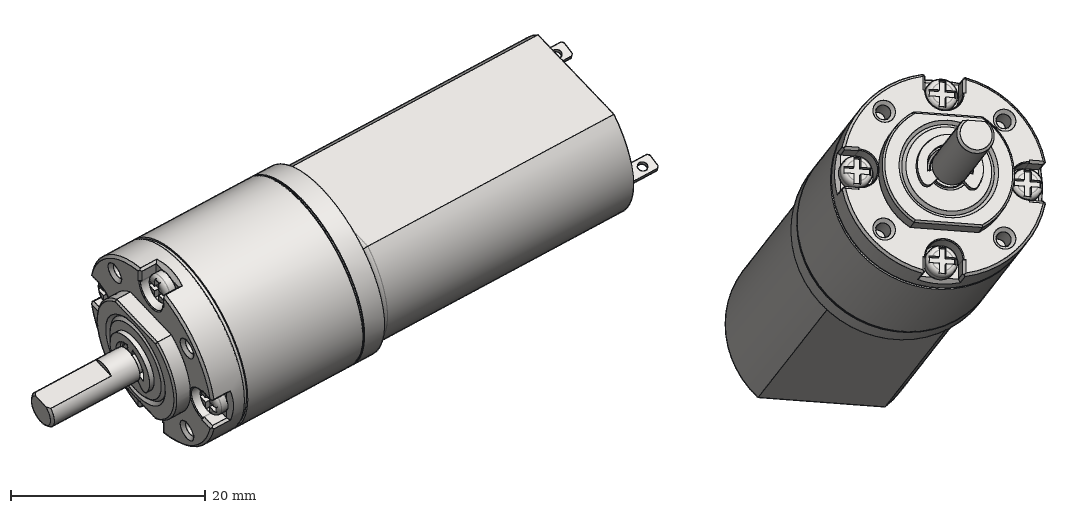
import cadquery as cq
import math


shaft_reach = 13.9
overall_length = 72.1
pilot_height = 1.95
cover_thickness = 4.4
case_end_y = 21.7
motor_end_y = 53.8
terminal_end_y = overall_length - shaft_reach

gearbox_diameter = 22.0
gearbox_radius = gearbox_diameter / 2
cover_rim_chamfer = 0.3
joint_groove_width = 0.4
joint_groove_depth = 0.2
pilot_diameter = 14.0
pilot_flat_width = 12.0
pilot_chamfer = 0.2
bearing_groove_outer_radius = 5.25
bearing_groove_bottom_radius = 4.9
bearing_groove_inner_radius = 4.55
bearing_groove_depth = 0.35
bearing_bore_chamfer = 0.3

bolt_circle_radius = 9.0
mount_hole_diameter = 1.6
mount_hole_mouth_diameter = 2.4
mount_hole_depth = 2.9

pocket_diameter = 4.0
pocket_radius = pocket_diameter / 2
pocket_depth = 2.1
pocket_bore_chamfer = 0.11
pocket_side_chamfer = 0.3
pocket_lip_drop = 0.5

screw_head_diameter = 3.4
screw_head_height = 1.4
screw_head_rounding = 0.6
cross_length = 2.8
cross_width = 0.7
cross_depth = 0.6

case_groove_y = 18.95
case_groove_width = 0.2
case_groove_depth = 0.15

motor_diameter = 20.4
motor_height = 15.35
motor_front_rounding = 0.95
rear_boss_diameter = 6.2
rear_boss_height = 1.95
rear_boss_chamfer = 0.2
rear_pin_diameter = 2.0
rear_pin_reach = 3.0
rear_pin_chamfer = 0.15

terminal_width = 1.95
terminal_thickness = 0.5
terminal_radius = 7.8
terminal_tilt = 13.0
terminal_corner = 0.2
terminal_hole_diameter = 1.1
terminal_hole_inset = 1.45

shaft_diameter = 4.0
shaft_tip_chamfer = 0.3
shaft_flat_length = 7.9
shaft_flat_height = 1.45
clip_seat_diameter = 3.0
clip_seat_play = 0.15

clip_diameter = 7.0
clip_thickness = 0.6
clip_standoff = 0.15
clip_opening_angle = 90.0
clip_end_rounding = 0.65
clip_relief_radius = 2.45
clip_relief_start = -14.0
clip_relief_end = 79.0

along_y = cq.Vector(0, 1, 0)
clip_back_y = -pilot_height - clip_standoff
clip_front_y = clip_back_y - clip_thickness


def rod(diameter, start_y, end_y, z=0):
    """Cylinder parallel to Y, from start_y to end_y."""
    start = cq.Vector(0, start_y, z)
    return cq.Workplane(cq.Solid.makeCylinder(diameter / 2, end_y - start_y, start, along_y))


def cone(front_diameter, back_diameter, length, start_y, z=0):
    """Cone frustum parallel to Y, front_diameter at start_y."""
    start = cq.Vector(0, start_y, z)
    return cq.Workplane(cq.Solid.makeCone(front_diameter / 2, back_diameter / 2, length, start, along_y))


def box(x_range, y_range, z_range):
    """Box between pairs of coordinates."""
    corner = cq.Vector(x_range[0], y_range[0], z_range[0])
    size = [end - start for start, end in (x_range, y_range, z_range)]
    return cq.Workplane(cq.Solid.makeBox(*size, corner))


def ring_cut(outer_diameter, inner_diameter, start_y, end_y):
    """Ring to subtract for a groove around a rod."""
    return rod(outer_diameter, start_y, end_y).cut(rod(inner_diameter, start_y, end_y))


def turned(shape, angle):
    """Shape turned about the Y axis."""
    return shape.rotate((0, 0, 0), (0, 1, 0), angle)


def screw_pocket():
    """Cutter for the pocket at the top of the cover."""
    pocket = rod(pocket_diameter, 0, pocket_depth, z=bolt_circle_radius)
    pocket = pocket.union(
        box((-pocket_radius, pocket_radius), (0, pocket_depth), (bolt_circle_radius, gearbox_radius))
    )
    pocket = pocket.union(
        cone(
            pocket_diameter + 2 * pocket_bore_chamfer, pocket_diameter,
            pocket_bore_chamfer, 0, z=bolt_circle_radius,
        )
    )
    mouth_half = pocket_radius + pocket_side_chamfer
    side_chamfers = (
        cq.Workplane("XY", origin=(0, 0, bolt_circle_radius))
        .polyline(
            [(-mouth_half, 0), (mouth_half, 0), (pocket_radius, pocket_side_chamfer),
             (-pocket_radius, pocket_side_chamfer)]
        )
        .close()
        .extrude(gearbox_radius - bolt_circle_radius)
    )
    lip_bottom_z = gearbox_radius - pocket_lip_drop
    lip = (
        cq.Workplane("XY", origin=(0, 0, lip_bottom_z))
        .rect(pocket_diameter, 2 * pocket_depth)
        .workplane(offset=pocket_lip_drop)
        .rect(pocket_diameter + 2 * pocket_lip_drop, 2 * (pocket_depth + pocket_lip_drop))
        .loft()
    )
    return pocket.union(side_chamfers).union(lip)


def screw_head():
    """Round-edged screw head with a cross recess, standing on the floor of the top pocket."""
    front_y = pocket_depth - screw_head_height
    head = rod(screw_head_diameter, front_y, pocket_depth, z=bolt_circle_radius)
    head = head.faces("<Y").edges().fillet(screw_head_rounding)
    cross_y = (front_y, front_y + cross_depth)
    for x_length, z_length in ((cross_length, cross_width), (cross_width, cross_length)):
        head = head.cut(
            box(
                (-x_length / 2, x_length / 2),
                cross_y,
                (bolt_circle_radius - z_length / 2, bolt_circle_radius + z_length / 2),
            )
        )
    return head


def pilot_boss():
    """Round boss with two flats and chamfered front edge."""
    pilot = rod(pilot_diameter, -pilot_height, 0).intersect(
        box(
            (-pilot_diameter, pilot_diameter),
            (-pilot_height, 0),
            (-pilot_flat_width / 2, pilot_flat_width / 2),
        )
    )
    return pilot.faces("<Y").edges().chamfer(pilot_chamfer)


def bearing_groove():
    """V-shaped ring between the pilot and the bearing face."""
    return (
        cq.Workplane("XY")
        .polyline(
            [
                (bearing_groove_inner_radius, -pilot_height),
                (bearing_groove_outer_radius, -pilot_height),
                (bearing_groove_bottom_radius, bearing_groove_depth - pilot_height),
            ]
        )
        .close()
        .revolve(360, (0, 0), (0, 1))
    )


def make_front_cover():
    """Mounting cover with pilot, bearing face and the four fastened screws."""
    cover = rod(gearbox_diameter, 0, cover_thickness).faces("<Y").edges().chamfer(cover_rim_chamfer)
    cover = cover.cut(
        ring_cut(
            gearbox_diameter,
            gearbox_diameter - 2 * joint_groove_depth,
            cover_thickness - joint_groove_width,
            cover_thickness,
        )
    )
    mouth_depth = (mount_hole_mouth_diameter - mount_hole_diameter) / 2
    mount_hole = rod(mount_hole_diameter, 0, mount_hole_depth, z=bolt_circle_radius).union(
        cone(mount_hole_mouth_diameter, mount_hole_diameter, mouth_depth, 0, z=bolt_circle_radius)
    )
    pocket = screw_pocket()
    head = screw_head()
    for quarter in range(4):
        angle = 90 * quarter
        cover = cover.cut(turned(pocket, angle)).union(turned(head, angle))
        cover = cover.cut(turned(mount_hole, angle + 45))
    cover = cover.union(pilot_boss()).cut(bearing_groove())
    cover = cover.cut(rod(shaft_diameter, -pilot_height, cover_thickness))
    bore_mouth_diameter = shaft_diameter + 2 * bearing_bore_chamfer
    return cover.cut(cone(bore_mouth_diameter, shaft_diameter, bearing_bore_chamfer, -pilot_height))


def make_gear_case():
    """Plain cylinder with a narrow groove near the motor end."""
    case = rod(gearbox_diameter, cover_thickness, case_end_y)
    return case.cut(
        ring_cut(
            gearbox_diameter,
            gearbox_diameter - 2 * case_groove_depth,
            case_groove_y,
            case_groove_y + case_groove_width,
        )
    )


def terminal():
    """Level terminal plate on the -X side, rooted on the motor's rear face."""
    plate = box(
        (-terminal_radius - terminal_width / 2, -terminal_radius + terminal_width / 2),
        (motor_end_y, terminal_end_y),
        (-terminal_thickness / 2, terminal_thickness / 2),
    )
    plate = plate.edges("|Z and >Y").chamfer(terminal_corner)
    hole_y = terminal_end_y - terminal_hole_inset
    hole = (
        cq.Workplane("XY", origin=(-terminal_radius, hole_y, -terminal_thickness))
        .circle(terminal_hole_diameter / 2)
        .extrude(2 * terminal_thickness)
    )
    return plate.cut(hole)


def make_motor():
    """Two-flat motor can with rear boss, rear pin and two terminals."""
    can = rod(motor_diameter, case_end_y, motor_end_y).intersect(
        box(
            (-motor_diameter, motor_diameter),
            (case_end_y, motor_end_y),
            (-motor_height / 2, motor_height / 2),
        )
    )
    can = can.faces("<Y").edges().fillet(motor_front_rounding)
    boss = rod(rear_boss_diameter, motor_end_y, motor_end_y + rear_boss_height)
    boss = boss.faces(">Y").edges().chamfer(rear_boss_chamfer)
    pin = rod(rear_pin_diameter, motor_end_y, motor_end_y + rear_pin_reach)
    pin = pin.faces(">Y").edges().chamfer(rear_pin_chamfer)
    motor = can.union(boss).union(pin)
    for half_turn in (0, 180):
        motor = motor.union(turned(terminal(), terminal_tilt + half_turn))
    return motor


def make_output_shaft():
    """Shaft with a flat at its tip and a seat for the clip."""
    shaft = rod(shaft_diameter, -shaft_reach, cover_thickness).faces("<Y").edges().chamfer(shaft_tip_chamfer)
    shaft = shaft.cut(
        box(
            (-shaft_diameter, shaft_diameter),
            (-shaft_reach, shaft_flat_length - shaft_reach),
            (shaft_flat_height, shaft_diameter),
        )
    )
    return shaft.cut(ring_cut(shaft_diameter, clip_seat_diameter, clip_front_y - clip_seat_play, clip_back_y))


def sector(radius, start_angle, end_angle):
    """Clip-thick pie slice around the Y axis; angles in degrees from +X towards +Z."""
    points = [
        (radius * math.cos(math.radians(angle)), radius * math.sin(math.radians(angle)))
        for angle in (start_angle, (start_angle + end_angle) / 2, end_angle)
    ]
    return (
        cq.Workplane("XZ", origin=(0, clip_back_y, 0))
        .lineTo(*points[0])
        .threePointArc(points[1], points[2])
        .close()
        .extrude(clip_thickness)
    )


def make_clip():
    """E-shaped clip open at the bottom, touching its seat with three tabs."""
    opening_start = 270 - clip_opening_angle / 2
    opening_end = 270 + clip_opening_angle / 2
    clip = sector(clip_diameter / 2, opening_end - 360, opening_start)
    clip = clip.edges("|Y and <Z").fillet(clip_end_rounding)
    for relief_range in (
        (clip_relief_start, clip_relief_end),
        (180 - clip_relief_end, 180 - clip_relief_start),
    ):
        clip = clip.cut(sector(clip_relief_radius, *relief_range))
    return clip.cut(rod(clip_seat_diameter, clip_front_y, clip_back_y))


front_cover = make_front_cover()
gear_case = make_gear_case()
motor = make_motor()
output_shaft = make_output_shaft()
clip = make_clip()

result = cq.Compound.makeCompound(
    [front_cover.val(), gear_case.val(), motor.val(), output_shaft.val(), clip.val()]
)